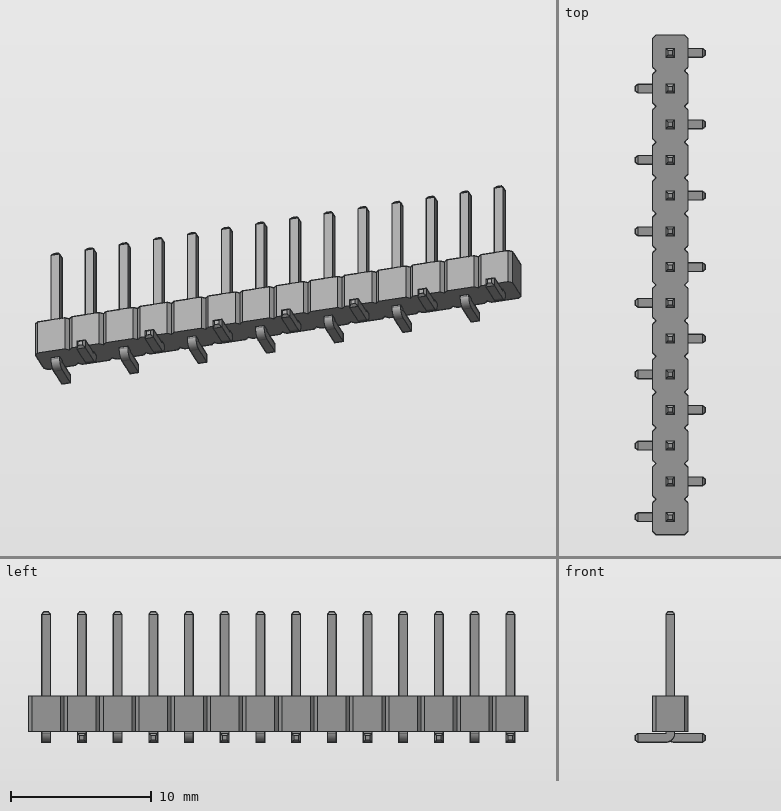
import cadquery as cq

pin_count = 14
pitch = 2.54
body_width = pitch
body_height = pitch
body_bottom = 0.76
corner_chamfer = pitch / 10

overall_height = 9.3
leg_span = 5.0
pin_size = 0.64
bend_radius = pin_size
tip_length = 0.2
tip_inset = pin_size / 4

row_length = pin_count * pitch
leg_reach = leg_span / 2
tip_end_size = pin_size - 2 * tip_inset


def make_body():
    """Row of chamfered blocks joined end to end, leaving V notches between them."""
    body = cq.Workplane("XY")
    for index in range(pin_count):
        block = (
            cq.Workplane("XY")
            .box(body_width, pitch, body_height, centered=(True, True, False))
            .edges("|Z")
            .chamfer(corner_chamfer)
            .translate((0, pin_position(index), body_bottom))
        )
        body = body.union(block)
    return body


def pin_position(index):
    """Y position of a pin, with the row centred on the origin."""
    return (index + 0.5) * pitch - row_length / 2


def make_tip(plane):
    """Tapered end growing along the normal of the given plane."""
    return (
        cq.Workplane(plane)
        .rect(pin_size, pin_size)
        .workplane(offset=tip_length)
        .rect(tip_end_size, tip_end_size)
        .loft(ruled=True)
    )


def make_pin():
    """L-shaped square pin at the origin with its leg pointing to -X."""
    shank_top = overall_height - tip_length
    leg_end = leg_reach - tip_length
    half_size = pin_size / 2
    bar = (
        cq.Workplane("XZ")
        .moveTo(-half_size, shank_top)
        .lineTo(half_size, shank_top)
        .lineTo(half_size, bend_radius)
        .radiusArc((half_size - bend_radius, 0), bend_radius)
        .lineTo(-leg_end, 0)
        .lineTo(-leg_end, pin_size)
        .lineTo(-half_size, pin_size)
        .close()
        .extrude(pin_size / 2, both=True)
    )
    shank_tip_plane = cq.Plane(origin=(0, 0, shank_top), xDir=(1, 0, 0), normal=(0, 0, 1))
    leg_tip_plane = cq.Plane(origin=(-leg_end, 0, pin_size / 2), xDir=(0, 0, 1), normal=(-1, 0, 0))
    shank_tip = make_tip(shank_tip_plane)
    leg_tip = make_tip(leg_tip_plane)
    return bar.union(shank_tip).union(leg_tip)


def make_header():
    """Body with one pin per block, every second pin turned to face +X."""
    header = make_body()
    left_pin = make_pin()
    right_pin = left_pin.rotate((0, 0, 0), (0, 0, 1), 180)
    for index in range(pin_count):
        pin = left_pin if index % 2 == 0 else right_pin
        header = header.union(pin.translate((0, pin_position(index), 0)))
    return header


result = make_header()